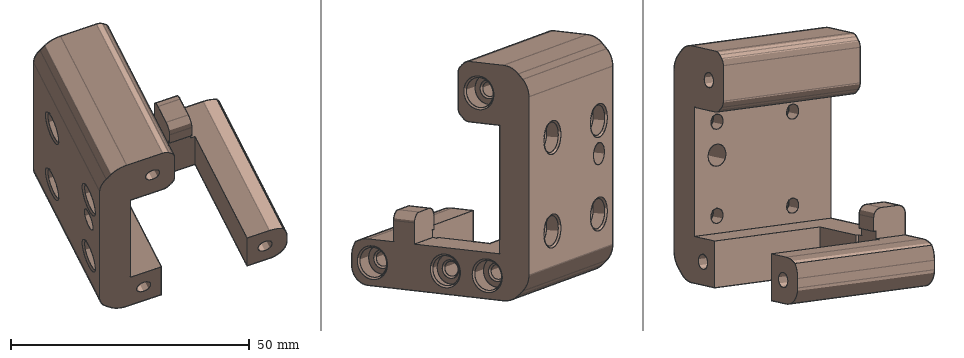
import cadquery as cq
width = 36.2
depth = 42.5
height = 50.4

wall_thickness = 7.0
base_height = 10.0
top_arm_depth = 17.0
top_arm_height = 12.95

front_chamfer = 4.05
front_blend_radius = 5.05
arm_chamfer = 1.85
arm_blend_radius = 2.0
base_rear_radius = 4.0
ridge_inset = 0.9
ridge_run = base_rear_radius - ridge_inset
ridge_arc_radius = (ridge_run**2 + ridge_inset**2) / (2 * ridge_inset)

side_bar_width = 8.35
rear_beam_depth = 9.05
front_beam_depth = 7.0

tab_depth = 5.05
tab_front = 27.4
tab_height = 6.5
tab_round = 1.95
recess_margin = 1.0
recess_cut = 0.6
recess_rise = 1.6

screw_diameter = 3.2
bore_diameter = 6.4
bore_chamfer = 0.4
screw_chamfer = 0.4
wall_bore_depth = 3.2
bar_bore_depth = 2.2
beam_bore_depth = 4.15

end_hole_inset = base_height / 2
wall_pattern_pitch = 20.0
wall_hole_left = 10.2
wall_hole_low = 13.7
top_hole_y = 12.0
top_hole_drop = 6.5
middle_hole_y = 20.0
front_hole_y = 10.0

plain_diameter = 4.7
plain_drop = 7.1


def box(x0, x1, y0, y1, z0, z1):
    """Box between two opposite corners."""
    return cq.Workplane("XY").box(x1 - x0, y1 - y0, z1 - z0, centered=False).translate((x0, y0, z0))


def edge_at(y, z, reach=0.005):
    """Selector for the X-parallel edge running through (y, z)."""
    return cq.selectors.BoxSelector((-0.5, y - reach, z - reach), (width + 0.5, y + reach, z + reach))


def blended_chamfer(body, y, z, y_inward, z_inward, leg, radius):
    """Chamfer a profile corner and round both edges of the chamfer."""
    body = body.edges(edge_at(y, z)).chamfer(leg)
    body = body.edges(edge_at(y + y_inward * leg, z)).fillet(radius)
    return body.edges(edge_at(y, z + z_inward * leg)).fillet(radius)


def screw_cutter(origin, direction, bore_depth, length):
    """Stepped hole with chamfers at its mouth and at the step."""
    screw_radius = screw_diameter / 2
    bore_radius = bore_diameter / 2
    half_section = [
        (0, 0),
        (bore_radius + bore_chamfer, 0),
        (bore_radius, bore_chamfer),
        (bore_radius, bore_depth),
        (screw_radius + screw_chamfer, bore_depth),
        (screw_radius, bore_depth + screw_chamfer),
        (screw_radius, length),
        (0, length),
    ]
    radial = cq.Vector(0, 0, 1)
    plane = cq.Plane(origin=origin, xDir=radial, normal=radial.cross(cq.Vector(*direction)))
    return cq.Workplane(plane).polyline(half_section).close().revolve(360, (0, 0), (0, 1))


def make_frame():
    """Side profile extruded across the full width, with its corners rounded."""
    arm_bottom = height - top_arm_height
    frame = (
        cq.Workplane("YZ")
        .lineTo(depth, 0)
        .lineTo(depth, base_height - base_rear_radius)
        .radiusArc((depth - ridge_inset, base_height - ridge_inset), -ridge_arc_radius)
        .radiusArc((depth - base_rear_radius, base_height), -ridge_arc_radius)
        .lineTo(wall_thickness, base_height)
        .lineTo(wall_thickness, arm_bottom)
        .lineTo(top_arm_depth, arm_bottom)
        .lineTo(top_arm_depth, height)
        .lineTo(0, height)
        .close()
        .extrude(width)
    )
    frame = blended_chamfer(frame, 0, 0, 1, 1, front_chamfer, front_blend_radius)
    frame = blended_chamfer(frame, 0, height, 1, -1, front_chamfer, front_blend_radius)
    frame = blended_chamfer(frame, top_arm_depth, height, -1, -1, arm_chamfer, arm_blend_radius)
    frame = blended_chamfer(frame, top_arm_depth, arm_bottom, -1, 1, arm_chamfer, arm_blend_radius)
    return frame.edges(edge_at(depth, 0)).fillet(base_rear_radius)


def make_window():
    window_front = wall_thickness + front_beam_depth
    return box(side_bar_width, width, window_front, depth - rear_beam_depth, 0, base_height)


def make_tab():
    tab_top = base_height + tab_height
    tab = box(0, side_bar_width, tab_front, tab_front + tab_depth, 0, tab_top)
    return tab.edges("|Y and >Z").fillet(tab_round)


def make_tab_recess():
    return box(
        side_bar_width - recess_cut,
        side_bar_width,
        tab_front - recess_margin,
        depth - rear_beam_depth,
        0,
        base_height + recess_rise,
    )


result = make_frame().cut(make_window()).union(make_tab()).cut(make_tab_recess())

beam_holes = [
    (top_hole_y, height - top_hole_drop),
    (front_hole_y, end_hole_inset),
    (depth - end_hole_inset, end_hole_inset),
]
for y, z in beam_holes:
    result = result.cut(screw_cutter((0, y, z), (1, 0, 0), beam_bore_depth, width))

bar_hole = (0, middle_hole_y, end_hole_inset)
result = result.cut(screw_cutter(bar_hole, (1, 0, 0), bar_bore_depth, side_bar_width))

wall_hole_right = wall_hole_left + wall_pattern_pitch
wall_hole_high = wall_hole_low + wall_pattern_pitch
for x in (wall_hole_left, wall_hole_right):
    for z in (wall_hole_low, wall_hole_high):
        cutter = screw_cutter((x, 0, z), (0, 1, 0), wall_bore_depth, wall_thickness)
        result = result.cut(cutter)

plain_hole = cq.Workplane("XZ", origin=(wall_hole_right, 0, wall_hole_high - plain_drop))
result = result.cut(plain_hole.circle(plain_diameter / 2).extrude(-wall_thickness))